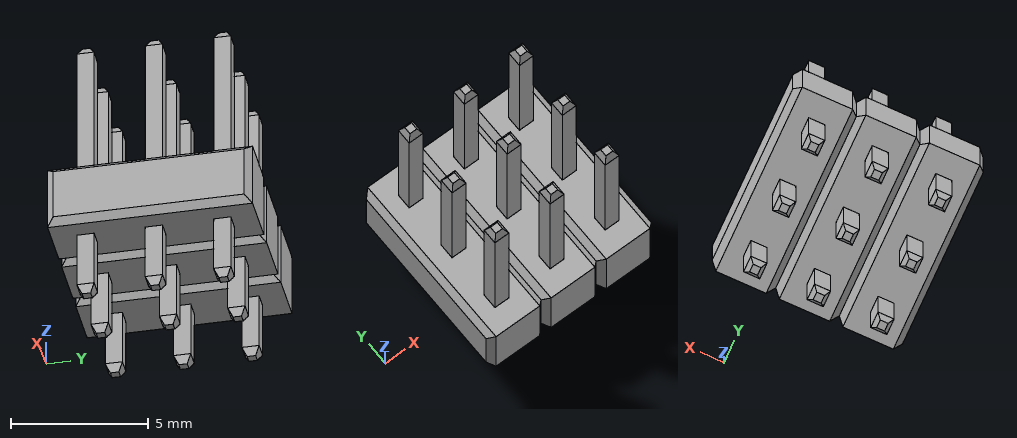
import cadquery as cq

pin_length = 10.92
body_side = 7.62
rows = 3
pitch = body_side / rows
body_height = pitch
body_chamfer = 0.26
body_bottom = 2.52

pin_width = 0.64
tip_height = 0.32
tip_width = 0.32

grid = [(i - (rows - 1) / 2) * pitch for i in range(rows)]


def housing_block(x):
    """One bar of the housing, bevelled around both faces that look along X."""
    bar = cq.Workplane("XY").box(pitch, body_side, body_height, centered=(True, True, False))
    bar = bar.faces("<X or >X").edges().chamfer(body_chamfer)
    return bar.translate((x, 0, body_bottom))


def tip(base_z, end_z):
    """Square pyramid frustum that narrows from base_z to end_z."""
    return (
        cq.Workplane("XY", origin=(0, 0, base_z))
        .rect(pin_width, pin_width)
        .workplane(offset=end_z - base_z)
        .rect(tip_width, tip_width)
        .loft(ruled=True)
    )


def square_pin():
    """Full-length square pin with a tapered tip at each end."""
    shank_top = pin_length - tip_height
    shank = (
        cq.Workplane("XY", origin=(0, 0, tip_height))
        .rect(pin_width, pin_width)
        .extrude(shank_top - tip_height)
    )
    return shank.union(tip(tip_height, 0)).union(tip(shank_top, pin_length))


result = housing_block(grid[0])
for x in grid[1:]:
    result = result.union(housing_block(x))

pin = square_pin()
for x in grid:
    for y in grid:
        result = result.union(pin.translate((x, y, 0)))